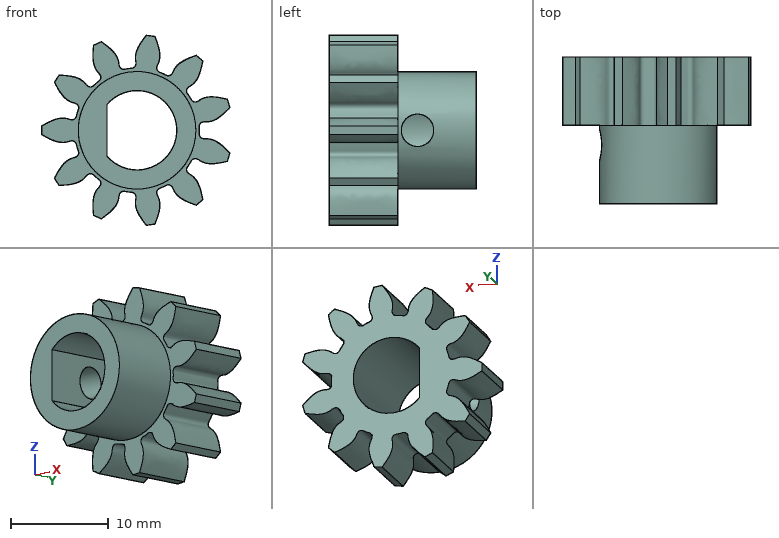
import cadquery as cq
import math

tooth_count = 11
gear_width = 7.0
hub_length = 8.0
hub_diameter = 12.0
root_radius = 6.37
tip_radius = 9.75
root_fillet = 0.45

bore_diameter = 8.07
flat_distance = 3.05
screw_diameter = 3.3
screw_to_gear = 2.0

tooth_foot = (6.02, 0.97)
flank_points = [(6.9, 1.13), (7.78, 1.25), (8.5, 1.07), (tip_radius, 0.45)]

total_length = hub_length + gear_width
tooth_pitch = 360 / tooth_count


def cylinder(diameter, start, length):
    """Cylinder along +Y from Y = start."""
    return cq.Workplane("XZ", origin=(0, start, 0)).circle(diameter / 2).extrude(-length)


def make_tooth():
    """Flat-tipped tooth pointing to -X, with bulging flanks."""
    upper = [(-distance, half) for distance, half in flank_points]
    lower = [(x, -z) for x, z in reversed(upper)]
    foot_x, foot_half = -tooth_foot[0], tooth_foot[1]
    return (
        cq.Workplane("XZ", origin=(0, hub_length, 0))
        .moveTo(foot_x, foot_half)
        .lineTo(*upper[0])
        .spline(upper[1:], includeCurrent=True)
        .lineTo(*lower[0])
        .spline(lower[1:], includeCurrent=True)
        .lineTo(foot_x, -foot_half)
        .lineTo(0, 0)
        .close()
        .extrude(-gear_width)
    )


def make_gear():
    """Root cylinder with equally spaced teeth and rounded tooth roots."""
    gear = cylinder(2 * root_radius, hub_length, gear_width)
    tooth = make_tooth()
    for index in range(tooth_count):
        gear = gear.union(tooth.rotate((0, 0, 0), (0, 1, 0), index * tooth_pitch))

    def is_root_edge(edge):
        center = edge.Center()
        return abs(math.hypot(center.x, center.z) - root_radius) < root_fillet / 10

    root_edges = [edge for edge in gear.edges("|Y").vals() if is_root_edge(edge)]
    return gear.newObject(root_edges).fillet(root_fillet)


def make_bore():
    """Through bore with a flat on its -X side."""
    round_bore = cylinder(bore_diameter, 0, total_length)
    keep_right = cq.Workplane("XY").box(
        flat_distance + bore_diameter, total_length, bore_diameter, centered=(False, False, True)
    ).translate((-flat_distance, 0, 0))
    return round_bore.intersect(keep_right)


def make_screw_hole():
    """Radial hole from the -X side of the hub into the bore."""
    return (
        cq.Workplane("YZ", origin=(-hub_diameter / 2, 0, 0))
        .center(hub_length - screw_to_gear, 0)
        .circle(screw_diameter / 2)
        .extrude(hub_diameter / 2)
    )


hub = cylinder(hub_diameter, 0, total_length)
result = make_gear().union(hub).cut(make_bore()).cut(make_screw_hole())